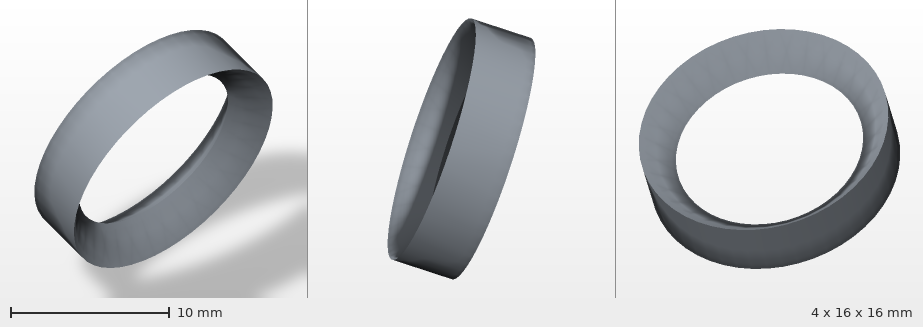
import cadquery as cq

outer_radius = 8.0
throat_radius = 6.0
width = 4.0
half_width = width / 2

section = (
    cq.Workplane("XZ")
    .moveTo(-half_width, outer_radius)
    .lineTo(half_width, outer_radius)
    .lineTo(0, throat_radius)
    .close()
)

axis_start = (0, 0, 0)
axis_end = (1, 0, 0)
result = section.revolve(360, axis_start, axis_end)